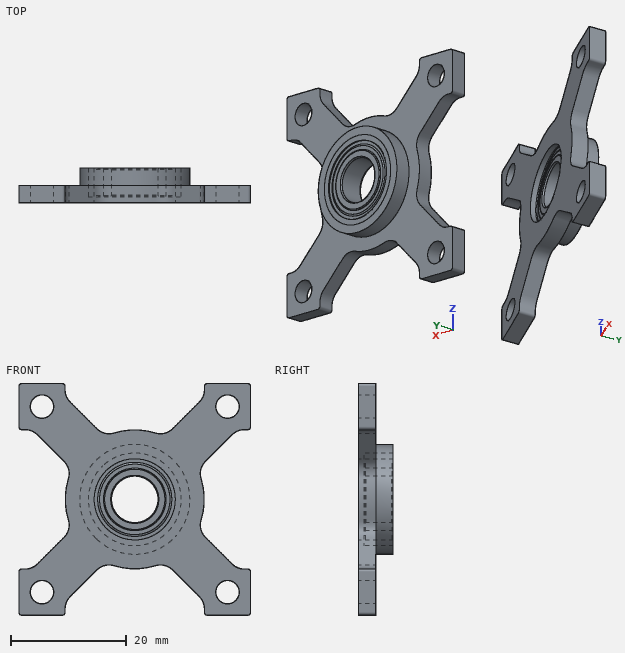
import cadquery as cq
import math

SPAN = 40.0
PLATE_THICKNESS = 3.0
PAD_SIDE = 8.0
PAD_CORNER_RADIUS = 0.5
ARM_WIDTH = 8.0
HUB_RADIUS = 12.0
BLEND_RADIUS = 3.0
MOUNT_HOLE_DIAMETER = 4.0

BOSS_DIAMETER = 19.0
HOUSING_DEPTH = 6.0

LIP_BORE_RADIUS = 7.0
LIP_THICKNESS = 1.0

BEARING_DIAMETER = 16.0
BEARING_BORE_DIAMETER = 8.0
BORE_CHAMFER_RADIAL = 0.15
BORE_CHAMFER_AXIAL = 0.3
INNER_RING_RADIUS = 5.4
INNER_RING_BEVEL = 0.2

SHIELD_BAND_RADIUS = 6.1
SHIELD_RIM_RADIUS = 6.4
SHIELD_BAND_RECESS = 0.1
SHIELD_RIM_RECESS = 0.25

HALF_SPAN = SPAN / 2
PAD_INNER = HALF_SPAN - PAD_SIDE
PAD_CENTER = HALF_SPAN - PAD_SIDE / 2
BEARING_FRONT = LIP_THICKNESS
BEARING_BACK = HOUSING_DEPTH
BEARING_WIDTH = BEARING_BACK - BEARING_FRONT


def cylinder(radius, front, depth):
    """Cylinder along +Y whose front face is at Y = front."""
    plane = cq.Workplane("XZ", origin=(0, front, 0))
    return plane.circle(radius).extrude(-depth)


def ring(outer_radius, inner_radius):
    """Plain ring, as wide as the bearing and starting at its front face."""
    outer = cylinder(outer_radius, BEARING_FRONT, BEARING_WIDTH)
    return outer.cut(cylinder(inner_radius, BEARING_FRONT, BEARING_WIDTH))


def pad_centers():
    """Workplane on the front face with a point at the centre of each pad."""
    square = 2 * PAD_CENTER
    return cq.Workplane("XZ").rect(square, square, forConstruction=True).vertices()


def edges_at(x, z):
    """Selector for the plate edge along Y that passes through (x, z)."""
    margin = 0.05
    return cq.selectors.BoxSelector(
        (x - margin, -margin, z - margin),
        (x + margin, PLATE_THICKNESS + margin, z + margin),
    )


def mirrored_places(a, b):
    """Every distinct place reached by mirroring (a, b) about the axes and the diagonals."""
    return sorted(
        {
            (x_side * u, z_side * v)
            for u, v in ((a, b), (b, a))
            for x_side in (1, -1)
            for z_side in (1, -1)
        }
    )


def make_plate():
    plate = cylinder(HUB_RADIUS, 0, PLATE_THICKNESS)
    arm_length = 2 * PAD_CENTER * math.sqrt(2)
    for angle in (45, -45):
        arm = cq.Workplane("XZ").rect(arm_length, ARM_WIDTH).extrude(-PLATE_THICKNESS)
        plate = plate.union(arm.rotate((0, 0, 0), (0, 1, 0), angle))
    pads = pad_centers().rect(PAD_SIDE, PAD_SIDE).extrude(-PLATE_THICKNESS)
    plate = plate.union(pads)

    arm_offset = ARM_WIDTH / math.sqrt(2)
    half_width = ARM_WIDTH / 2
    along_arm = math.sqrt(HUB_RADIUS**2 - half_width**2)
    hub_meets_arm = (
        (along_arm - half_width) / math.sqrt(2),
        (along_arm + half_width) / math.sqrt(2),
    )
    arm_meets_pad = (PAD_INNER, PAD_INNER + arm_offset)
    pad_inner_corner = (PAD_INNER, HALF_SPAN)
    pad_outer_corner = (HALF_SPAN, HALF_SPAN)
    rounded_corners = (
        (hub_meets_arm, BLEND_RADIUS),
        (arm_meets_pad, BLEND_RADIUS),
        (pad_inner_corner, PAD_CORNER_RADIUS),
        (pad_outer_corner, PAD_CORNER_RADIUS),
    )
    for (a, b), radius in rounded_corners:
        for x, z in mirrored_places(a, b):
            plate = plate.edges(edges_at(x, z)).fillet(radius)
    return plate


def make_housing():
    boss = cylinder(BOSS_DIAMETER / 2, PLATE_THICKNESS, HOUSING_DEPTH - PLATE_THICKNESS)
    mount_holes = pad_centers().circle(MOUNT_HOLE_DIAMETER / 2).extrude(-PLATE_THICKNESS)
    lip_bore = cylinder(LIP_BORE_RADIUS, 0, LIP_THICKNESS)
    bearing_seat = cylinder(BEARING_DIAMETER / 2, BEARING_FRONT, BEARING_WIDTH)
    return make_plate().union(boss).cut(mount_holes).cut(lip_bore).cut(bearing_seat)


def make_outer_ring():
    return ring(BEARING_DIAMETER / 2, LIP_BORE_RADIUS)


def make_shield():
    front = BEARING_FRONT
    back = BEARING_BACK
    half_section = (
        cq.Workplane("XY")
        .moveTo(INNER_RING_RADIUS, front + SHIELD_BAND_RECESS)
        .lineTo(SHIELD_BAND_RADIUS, front + SHIELD_BAND_RECESS)
        .lineTo(SHIELD_RIM_RADIUS, front + SHIELD_RIM_RECESS)
        .lineTo(LIP_BORE_RADIUS, front + SHIELD_RIM_RECESS)
        .lineTo(LIP_BORE_RADIUS, back - SHIELD_RIM_RECESS)
        .lineTo(SHIELD_RIM_RADIUS, back - SHIELD_RIM_RECESS)
        .lineTo(SHIELD_BAND_RADIUS, back - SHIELD_BAND_RECESS)
        .lineTo(INNER_RING_RADIUS, back - SHIELD_BAND_RECESS)
        .close()
    )
    return half_section.revolve(360, (0, 0, 0), (0, 1, 0))


def make_inner_ring():
    front = BEARING_FRONT
    back = BEARING_BACK
    bore_radius = BEARING_BORE_DIAMETER / 2
    bore_rim_radius = bore_radius + BORE_CHAMFER_RADIAL
    face_radius = INNER_RING_RADIUS - INNER_RING_BEVEL
    half_section = (
        cq.Workplane("XY")
        .moveTo(bore_rim_radius, front)
        .lineTo(face_radius, front)
        .lineTo(INNER_RING_RADIUS, front + INNER_RING_BEVEL)
        .lineTo(INNER_RING_RADIUS, back - INNER_RING_BEVEL)
        .lineTo(face_radius, back)
        .lineTo(bore_rim_radius, back)
        .lineTo(bore_radius, back - BORE_CHAMFER_AXIAL)
        .lineTo(bore_radius, front + BORE_CHAMFER_AXIAL)
        .close()
    )
    return half_section.revolve(360, (0, 0, 0), (0, 1, 0))


housing = make_housing()
outer_ring = make_outer_ring()
shield = make_shield()
inner_ring = make_inner_ring()

result = cq.Compound.makeCompound(
    [housing.val(), outer_ring.val(), shield.val(), inner_ring.val()]
)